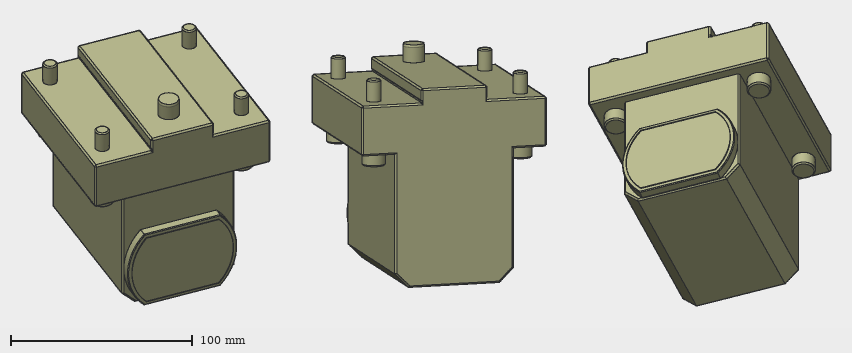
import cadquery as cq

EDGE_CHAMFER = 1.0

FLANGE_LENGTH = 99.5
FLANGE_WIDTH = 106.0
FLANGE_BOTTOM = 75.0
FLANGE_THICKNESS = 28.0
FLANGE_TOP = FLANGE_BOTTOM + FLANGE_THICKNESS

TONGUE_WIDTH = 38.0
TONGUE_HEIGHT = 8.0
UNDERCUT_DEPTH = 0.5
UNDERCUT_HEIGHT = 1.3

BODY_LENGTH = 93.7
BODY_WIDTH = 68.0
BODY_CORNER = 8.0

COVER_DIAMETER = 66.0
COVER_HEIGHT = 47.5
COVER_CENTRE_Z = 24.25
COVER_CHAMFER = 0.5
COVER_PAD_INSET = 2.4
COVER_PAD_THICKNESS = 0.5
COVER_THICKNESS = FLANGE_LENGTH - BODY_LENGTH - COVER_PAD_THICKNESS

SCREW_FIRST_X = 14.7
SCREW_SPACING_X = 70.0
SCREW_SPACING_Y = 84.0
SCREW_DIAMETER = 8.0
SCREW_PROJECTION = 12.0
SCREW_TIP_DIAMETER = 6.46
SCREW_HEAD_DIAMETER = 13.0
SCREW_HEAD_HEIGHT = 8.0
SCREW_HEAD_CHAMFER = 0.8

PIN_X = 80.5
PIN_DIAMETER = 12.0
PIN_TOP = 120.99
PIN_CHAMFER_HEIGHT = 1.4
PIN_CHAMFER_RADIAL = 0.4


def make_block(length, width, height, bottom, y=0):
    """Plain block starting at X = 0, centred on y, standing on the given bottom height."""
    return cq.Workplane("XY", origin=(0, y, bottom)).box(
        length, width, height, centered=(False, True, False)
    )


def make_flange_and_body():
    """T-shaped block: a tongued flange over a shorter body with cut lower corners."""
    flange = make_block(FLANGE_LENGTH, FLANGE_WIDTH, FLANGE_THICKNESS, FLANGE_BOTTOM)
    tongue = make_block(FLANGE_LENGTH, TONGUE_WIDTH, TONGUE_HEIGHT, FLANGE_TOP)
    body = make_block(BODY_LENGTH, BODY_WIDTH, FLANGE_BOTTOM, 0)
    body = body.faces("<Z").edges("|X").chamfer(BODY_CORNER)
    block = flange.union(tongue).union(body)

    body_end_zone = cq.selectors.BoxSelector(
        (BODY_LENGTH - EDGE_CHAMFER, -BODY_WIDTH, -EDGE_CHAMFER),
        (BODY_LENGTH + EDGE_CHAMFER, BODY_WIDTH, FLANGE_BOTTOM - EDGE_CHAMFER),
    )
    flange_sides = block.faces("<Y or >Y")
    return (
        block.faces("<X or >X").edges()
        .add(flange_sides.edges("|X or |Z"))
        .add(block.faces(">Z").edges("|X"))
        .add(block.edges(body_end_zone))
        .chamfer(EDGE_CHAMFER)
    )


def cut_undercuts(block):
    """Relieve both tongue flanks just above the flange."""
    for side in (-1, 1):
        flank_y = side * TONGUE_WIDTH / 2
        groove = make_block(FLANGE_LENGTH, 2 * UNDERCUT_DEPTH, UNDERCUT_HEIGHT, FLANGE_TOP, flank_y)
        block = block.cut(groove)
    return block


def make_flatted_disc(inset, thickness):
    """Disc along X with flats above and below, its outline drawn in by the inset."""
    disc = cq.Workplane("YZ").circle(COVER_DIAMETER / 2 - inset).extrude(thickness)
    flats = cq.Workplane("YZ").rect(COVER_DIAMETER, COVER_HEIGHT - 2 * inset).extrude(thickness)
    return disc.intersect(flats)


def make_cover():
    """Cover on the +X end of the body: a chamfered flatted disc carrying a thin raised pad."""
    disc = make_flatted_disc(0, COVER_THICKNESS).faces(">X").chamfer(COVER_CHAMFER)
    pad = make_flatted_disc(COVER_PAD_INSET, COVER_PAD_THICKNESS).translate((COVER_THICKNESS, 0, 0))
    return disc.union(pad).translate((BODY_LENGTH, 0, COVER_CENTRE_Z))


def make_screw(x, y):
    """Clamping screw: head below the flange, shank standing out above it."""
    head = (
        cq.Workplane("XY", origin=(x, y, FLANGE_BOTTOM))
        .circle(SCREW_HEAD_DIAMETER / 2)
        .extrude(-SCREW_HEAD_HEIGHT)
        .faces("<Z")
        .chamfer(SCREW_HEAD_CHAMFER)
    )
    shank = (
        cq.Workplane("XY", origin=(x, y, FLANGE_BOTTOM))
        .circle(SCREW_DIAMETER / 2)
        .extrude(FLANGE_THICKNESS + SCREW_PROJECTION)
        .faces(">Z")
        .chamfer((SCREW_DIAMETER - SCREW_TIP_DIAMETER) / 2)
    )
    return head.union(shank)


def make_pin():
    """Locating pin on the tongue, with a slim lead-in at its tip."""
    radius = PIN_DIAMETER / 2
    tip_radius = radius - PIN_CHAMFER_RADIAL
    return (
        cq.Workplane("XZ", origin=(PIN_X, 0, 0))
        .moveTo(0, FLANGE_TOP)
        .lineTo(radius, FLANGE_TOP)
        .lineTo(radius, PIN_TOP - PIN_CHAMFER_HEIGHT)
        .lineTo(tip_radius, PIN_TOP)
        .lineTo(0, PIN_TOP)
        .close()
        .revolve(360, (0, 0), (0, 1))
    )


result = cut_undercuts(make_flange_and_body())
result = result.union(make_cover()).union(make_pin())
for screw_x in (SCREW_FIRST_X, SCREW_FIRST_X + SCREW_SPACING_X):
    for screw_y in (-SCREW_SPACING_Y / 2, SCREW_SPACING_Y / 2):
        result = result.union(make_screw(screw_x, screw_y))